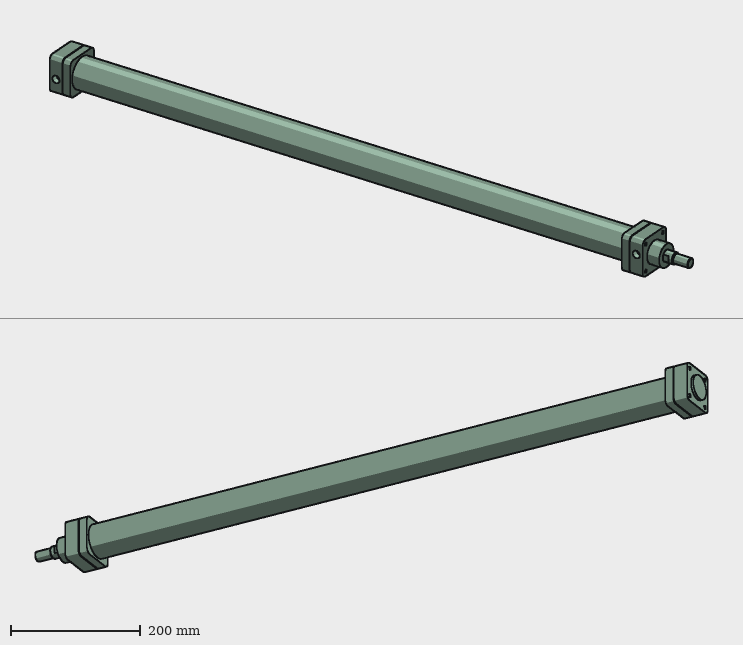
import cadquery as cq

total_length = 1179.0
block_side = 65.0
half_side = block_side / 2
block_corner_radius = 8.0

rear_boss_height = 4.0
cover_length = 24.0
joint_gap = 1.0
flange_length = 14.0
front_boss_height = 22.0
tube_length = 1029.0

rear_cover_end = rear_boss_height + cover_length
rear_flange_start = rear_cover_end + joint_gap
tube_start = rear_flange_start + flange_length
tube_end = tube_start + tube_length
front_flange_end = tube_end + flange_length
front_cover_start = front_flange_end + joint_gap
front_cover_end = front_cover_start + cover_length
front_boss_end = front_cover_end + front_boss_height

tube_diameter = 55.0
boss_diameter = 40.0

tie_hole_diameter = 5.3
tie_hole_depth = 7.0
tie_hole_spacing = 47.0

port_diameter = 13.0
port_depth = 12.0
port_inset = 12.0
port_offset_z = 6.0

rod_diameter = 20.0
rod_end = 1152.0
flat_width = 17.0
flat_end = 1144.0
thread_diameter = 17.0
shaft_chamfer = (rod_diameter - thread_diameter) / 2
thread_chamfer = 1.0


def cylinder_on_axis(start, end, diameter):
    """Cylinder on the axis between two X stations."""
    return cq.Workplane("YZ", origin=(start, 0, 0)).circle(diameter / 2).extrude(end - start)


def square_block(start, length):
    """Square block around the axis with rounded long edges."""
    block = cq.Workplane("YZ", origin=(start, 0, 0)).rect(block_side, block_side).extrude(length)
    return block.edges("|X").fillet(block_corner_radius)


def tie_holes(face_x, inward):
    """Four holes running inward (+1 or -1 along X) from an outer cover face."""
    return (
        cq.Workplane("YZ", origin=(face_x, 0, 0))
        .rect(tie_hole_spacing, tie_hole_spacing, forConstruction=True)
        .vertices()
        .circle(tie_hole_diameter / 2)
        .extrude(inward * tie_hole_depth)
    )


def port(x, z):
    """Air port going in from the -Y side."""
    mouth = cq.Workplane("XZ", origin=(x, -half_side, z)).circle(port_diameter / 2)
    return mouth.extrude(-port_depth)


def make_flange(start):
    """Square flange that carries one end of the tube."""
    return square_block(start, flange_length)


def make_rear_cover():
    """Rear cover with its low boss outside and a round spigot across the joint gap."""
    cover = square_block(rear_boss_height, cover_length)
    cover = cover.union(cylinder_on_axis(0, rear_boss_height, boss_diameter))
    cover = cover.union(cylinder_on_axis(rear_cover_end, rear_flange_start, tube_diameter))
    cover = cover.cut(tie_holes(rear_boss_height, 1))
    return cover.cut(port(rear_boss_height + port_inset, -port_offset_z))


def make_front_cover():
    """Front cover with its long boss, its spigot and the bore for the rod."""
    cover = square_block(front_cover_start, cover_length)
    cover = cover.union(cylinder_on_axis(front_cover_end, front_boss_end, boss_diameter))
    cover = cover.union(cylinder_on_axis(front_flange_end, front_cover_start, tube_diameter))
    cover = cover.cut(tie_holes(front_cover_end, -1))
    cover = cover.cut(port(front_cover_end - port_inset, port_offset_z))
    return cover.cut(cylinder_on_axis(front_flange_end, front_boss_end, rod_diameter))


def make_rod():
    """Rod seated in the front cover, with flats on its -Y and +Y sides outside the boss."""
    shaft = cylinder_on_axis(front_flange_end, rod_end, rod_diameter)
    shaft = shaft.faces(">X").chamfer(shaft_chamfer)
    flat_length = flat_end - front_boss_end
    flat_zone = cylinder_on_axis(front_boss_end, flat_end, rod_diameter)
    between_flats = cq.Workplane("YZ", origin=(front_boss_end, 0, 0)).rect(flat_width, rod_diameter)
    shaft = shaft.cut(flat_zone.cut(between_flats.extrude(flat_length)))
    thread = cylinder_on_axis(rod_end, total_length, thread_diameter)
    thread = thread.faces(">X").chamfer(thread_chamfer)
    return shaft.union(thread)


tube = cylinder_on_axis(tube_start, tube_end, tube_diameter)
flanges = [make_flange(start) for start in (rear_flange_start, tube_end)]
rear_cover = make_rear_cover()
front_cover = make_front_cover()
rod = make_rod()

result = cq.Compound.makeCompound(
    [
        tube.val(),
        *[flange.val() for flange in flanges],
        rear_cover.val(),
        front_cover.val(),
        rod.val(),
    ]
)